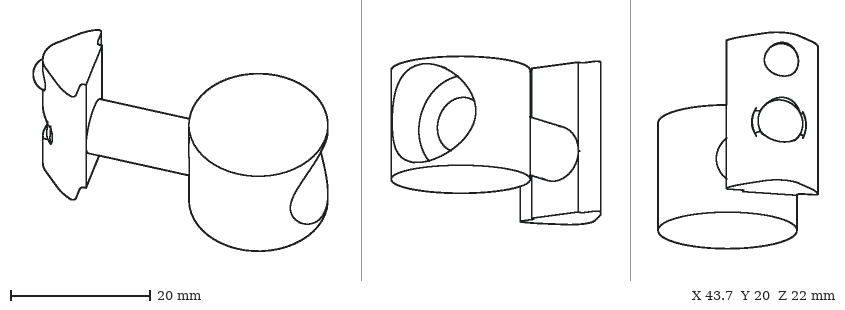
import cadquery as cq
import math


drum_radius = 10.0
drum_height = 16.0
bore_radius = 7.2
bore_floor_x = 0.0

rod_radius = 4.0
rod_tip_x = -30.75
rod_tip_chamfer = 0.68
rod_tip_radius = rod_radius - rod_tip_chamfer

block_height = 22.0
block_center_z = 2.0
nose_x = -32.2
nose_radius = 3.62
flank_angle = math.radians(45)
flat_length = 3.53
flank_radius = 8.0
back_x = -25.46
tip_radius = 0.5
neck_fillet = 0.5
neck_fillet_mid_angle = math.radians(225)
neck_half_width = rod_radius
neck_end_x = -24.65

ball_radius = 2.5
ball_x = -31.2
ball_z = 9.0


def x_cylinder(radius, start_x, end_x, z=0.0):
    """Cylinder along X between two X positions."""
    return (
        cq.Workplane("YZ", origin=(start_x, 0, z))
        .circle(radius)
        .extrude(end_x - start_x)
    )


def arc_point(center, radius, angle):
    """Point on a circle at an angle measured from +X."""
    return (center[0] + radius * math.cos(angle), center[1] + radius * math.sin(angle))


def make_rod():
    rod = x_cylinder(rod_radius, rod_tip_x, bore_floor_x)
    return rod.faces("<X").chamfer(rod_tip_chamfer)


def make_ball():
    return cq.Workplane("XY", origin=(ball_x, 0, ball_z)).sphere(ball_radius)


def make_drum(rod):
    drum = cq.Workplane("XY").circle(drum_radius).extrude(drum_height / 2, both=True)
    bore = x_cylinder(bore_radius, bore_floor_x, drum_radius)
    return drum.cut(bore).cut(rod)


def block_outline():
    """Arrow-shaped outline, symmetric about the X axis, with its nose toward -X."""
    normal_angle = math.pi - flank_angle
    nose_center = (nose_x + nose_radius, 0.0)
    flat_start = arc_point(nose_center, nose_radius, normal_angle)
    flat_end = arc_point(flat_start, flat_length, flank_angle)

    flank_center = arc_point(flat_end, flank_radius, normal_angle + math.pi)
    tip_center_x = back_x - tip_radius
    center_dx = tip_center_x - flank_center[0]
    center_dy = math.sqrt((flank_radius - tip_radius) ** 2 - center_dx ** 2)
    tip_center = (tip_center_x, flank_center[1] + center_dy)
    tip_angle = math.atan2(center_dy, center_dx)
    flank_middle = arc_point(flank_center, flank_radius, (normal_angle + tip_angle) / 2)
    flank_end = arc_point(flank_center, flank_radius, tip_angle)
    tip_middle = arc_point(tip_center, tip_radius, tip_angle / 2)
    tip_end = (back_x, tip_center[1])

    neck_fillet_center = (back_x + neck_fillet, neck_half_width + neck_fillet)
    neck_fillet_start = (back_x, neck_fillet_center[1])
    neck_fillet_middle = arc_point(neck_fillet_center, neck_fillet, neck_fillet_mid_angle)
    neck_fillet_end = (neck_fillet_center[0], neck_half_width)

    def mirrored(point):
        return (point[0], -point[1])

    return (
        cq.Workplane("XY", origin=(0, 0, block_center_z))
        .moveTo(*mirrored(flat_start))
        .threePointArc((nose_x, 0), flat_start)
        .lineTo(*flat_end)
        .threePointArc(flank_middle, flank_end)
        .threePointArc(tip_middle, tip_end)
        .lineTo(*neck_fillet_start)
        .threePointArc(neck_fillet_middle, neck_fillet_end)
        .lineTo(neck_end_x, neck_half_width)
        .lineTo(neck_end_x, -neck_half_width)
        .lineTo(*mirrored(neck_fillet_end))
        .threePointArc(mirrored(neck_fillet_middle), mirrored(neck_fillet_start))
        .lineTo(*mirrored(tip_end))
        .threePointArc(mirrored(tip_middle), mirrored(flank_end))
        .threePointArc(mirrored(flank_middle), mirrored(flat_end))
        .close()
    )


def make_block(rod, ball):
    block = block_outline().extrude(block_height / 2, both=True)
    nose_hole = x_cylinder(rod_tip_radius, nose_x, rod_tip_x)
    ball_mouth = x_cylinder(ball_radius, nose_x, ball_x, z=ball_z)
    return block.cut(nose_hole).cut(rod).cut(ball_mouth).cut(ball)


rod = make_rod()
ball = make_ball()
drum = make_drum(rod)
block = make_block(rod, ball)

result = cq.Compound.makeCompound([drum.val(), rod.val(), block.val(), ball.val()])